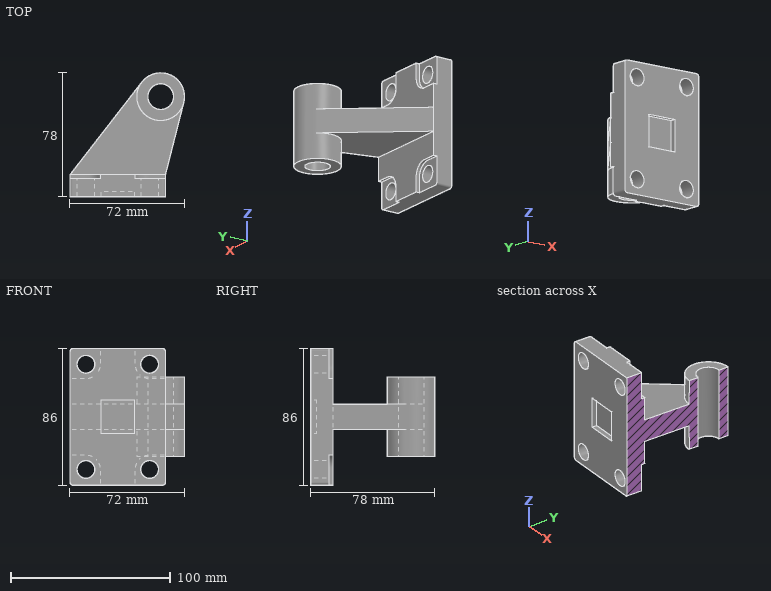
import cadquery as cq
import math

plate_width = 60.0
plate_height = 86.0
plate_thickness = 14.0
corner_radius = 2.0

hole_diameter = 11.0
hole_spacing_x = 40.0
hole_spacing_z = 66.05
recess_radius = 9.0
recess_depth = 2.5

pocket_side = 21.0
pocket_depth = 3.5

boss_diameter = 30.0
boss_length = 50.05
bore_diameter = 16.0
arm_thickness = 16.0
overall_width = 72.0
overall_depth = 78.0

boss_radius = boss_diameter / 2
boss_x = overall_width - plate_width / 2 - boss_radius
boss_y = overall_depth - boss_radius


def make_plate():
    """Plate with rounded upright corners and its square front pocket."""
    plate = (
        cq.Workplane("XY")
        .box(plate_width, plate_thickness, plate_height, centered=(True, False, True))
        .edges("|Y")
        .fillet(corner_radius)
    )
    pocket = cq.Workplane("XY").box(
        pocket_side, pocket_depth, pocket_side, centered=(True, False, True)
    )
    return plate.cut(pocket)


def make_corner_cut(side_x, side_z):
    """Mounting hole plus a rear recess that opens onto both nearby plate edges."""
    hole_x = side_x * hole_spacing_x / 2
    hole_z = side_z * hole_spacing_z / 2
    edge_x = side_x * plate_width / 2
    edge_z = side_z * plate_height / 2
    inner_x = hole_x - side_x * recess_radius
    inner_z = hole_z - side_z * recess_radius
    arc_offset = recess_radius * math.sqrt(0.5)
    arc_middle = (hole_x - side_x * arc_offset, hole_z - side_z * arc_offset)

    hole = (
        cq.Workplane("XZ")
        .center(hole_x, hole_z)
        .circle(hole_diameter / 2)
        .extrude(-plate_thickness)
    )
    recess = (
        cq.Workplane("XZ", origin=(0, plate_thickness - recess_depth, 0))
        .moveTo(edge_x, edge_z)
        .lineTo(edge_x, inner_z)
        .lineTo(hole_x, inner_z)
        .threePointArc(arc_middle, (inner_x, hole_z))
        .lineTo(inner_x, edge_z)
        .close()
        .extrude(-recess_depth)
    )
    return hole.union(recess)


def boss_tangent_point(start_x, start_y, side):
    """Point where a line from the start touches the boss, on its left (-1) or right (+1)."""
    dx = start_x - boss_x
    dy = start_y - boss_y
    angle = math.atan2(dy, dx) + side * math.acos(boss_radius / math.hypot(dx, dy))
    return (
        boss_x + boss_radius * math.cos(angle),
        boss_y + boss_radius * math.sin(angle),
    )


def make_arm():
    """Tapered arm from the full plate width to the sides of the boss."""
    half_width = plate_width / 2
    return (
        cq.Workplane("XY")
        .moveTo(-half_width, plate_thickness)
        .lineTo(half_width, plate_thickness)
        .lineTo(*boss_tangent_point(half_width, plate_thickness, 1))
        .lineTo(boss_x, boss_y)
        .lineTo(*boss_tangent_point(-half_width, plate_thickness, -1))
        .close()
        .extrude(arm_thickness / 2, both=True)
    )


def make_boss_cylinder(diameter):
    """Upright cylinder on the boss axis, centred on the arm."""
    return (
        cq.Workplane("XY")
        .center(boss_x, boss_y)
        .circle(diameter / 2)
        .extrude(boss_length / 2, both=True)
    )


plate = make_plate()
for side_x in (-1, 1):
    for side_z in (-1, 1):
        plate = plate.cut(make_corner_cut(side_x, side_z))

bracket = plate.union(make_arm()).union(make_boss_cylinder(boss_diameter))
result = bracket.cut(make_boss_cylinder(bore_diameter))